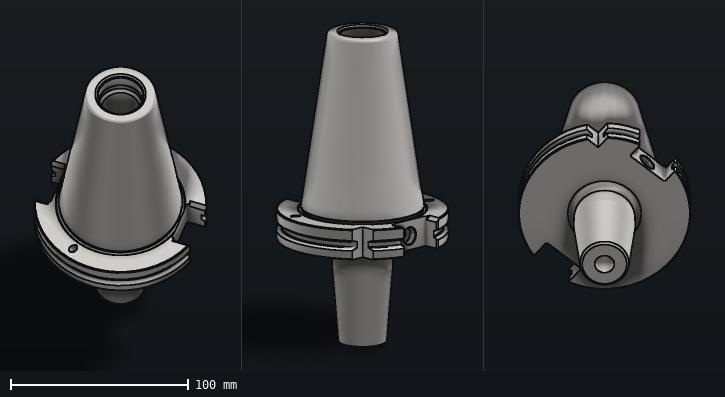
import cadquery as cq
import math

total_length = 181.6
gauge_height = 80.0
flange_top = 78.5
flange_bottom = 60.8
collar_top = 55.2
collar_bottom = 44.7

gauge_radius = 34.9
taper_slope = 7 / 48
taper_end_round = 1.8

flange_radius = 48.7
flange_chamfer = 0.5
groove_center = 69.0
groove_floor_radius = 45.5
groove_floor_width = 3.5
groove_flank_angle = 22
groove_floor_round = 0.5
groove_flank_height = (flange_radius - groove_floor_radius) * math.tan(math.radians(groove_flank_angle))

recess_radius = 36.7
recess_depth = 0.5
gauge_land = 0.4
undercut_radius = 34.3

collar_radius = 17.3
neck_radius = 17.0
neck_height = 1.0
neck_flare_radius = 20.7
neck_flare_round = 5.5
nose_radius = 13.8
nose_chamfer = 1.3

bore_mouth_radius = 14.3
bore_mouth_chamfer = 1.0
bore_lip_depth = 1.6
bore_radius = 12.7
bore_depth = 8.4
pilot_radius = 12.5
pilot_depth = 11.5
thread_radius = 10.5
thread_depth = 40.0
thread_countersink = 1.3
drill_point_angle = 118
coolant_bore_radius = 5.5

slot_width = 25.6
slot_corner_round = 1.0
slot_edge_chamfer = 2.2
slot_rim_chamfer = 1.0
deep_slot_distance = 35.5
shallow_slot_distance = 37.5

notch_distance = 30.0

chip_radius = 4.9
chip_depth = 4.5
chip_rim_chamfer = 0.4
chip_center_radius = 0.7
chip_center_countersink = 0.7
chip_center_depth = 2.7

coolant_hole_radius = 2.0
coolant_hole_distance = 41.5
coolant_hole_azimuth = 70
coolant_hole_tilt = 45
coolant_hole_depth = 14.5


def revolve_profile(profile):
    """Close an outline drawn in the XZ half-plane and turn it about Z."""
    return profile.close().revolve(360, (0, 0, 0), (0, 1, 0))


def make_body():
    taper_end_radius = gauge_radius - taper_slope * (total_length - gauge_height)
    groove_floor_top = groove_center + groove_floor_width / 2
    groove_floor_bottom = groove_center - groove_floor_width / 2
    land_bottom = gauge_height - gauge_land
    undercut_top = land_bottom - (gauge_radius - undercut_radius)
    neck_bottom = collar_top + neck_height
    profile = (
        cq.Workplane("XZ")
        .moveTo(0, 0)
        .lineTo(nose_radius - nose_chamfer, 0)
        .lineTo(nose_radius, nose_chamfer)
        .lineTo(collar_radius, collar_bottom)
        .lineTo(collar_radius, collar_top)
        .lineTo(neck_radius, neck_bottom)
        .radiusArc((neck_flare_radius, flange_bottom), neck_flare_round)
        .lineTo(flange_radius - flange_chamfer, flange_bottom)
        .lineTo(flange_radius, flange_bottom + flange_chamfer)
        .lineTo(flange_radius, groove_floor_bottom - groove_flank_height)
        .lineTo(groove_floor_radius, groove_floor_bottom)
        .lineTo(groove_floor_radius, groove_floor_top)
        .lineTo(flange_radius, groove_floor_top + groove_flank_height)
        .lineTo(flange_radius, flange_top - flange_chamfer)
        .lineTo(flange_radius - flange_chamfer, flange_top)
        .lineTo(recess_radius, flange_top)
        .lineTo(recess_radius - recess_depth, flange_top - recess_depth)
        .lineTo(undercut_radius, flange_top - recess_depth)
        .lineTo(undercut_radius, undercut_top)
        .lineTo(gauge_radius, land_bottom)
        .lineTo(gauge_radius, gauge_height)
        .lineTo(taper_end_radius, total_length)
        .lineTo(0, total_length)
    )
    body = revolve_profile(profile).faces(">Z").edges().fillet(taper_end_round)
    floor_edges = cq.selectors.BoxSelector(
        (-flange_radius, -flange_radius, groove_floor_bottom - groove_floor_round),
        (flange_radius, flange_radius, groove_floor_top + groove_floor_round),
    )
    return body.edges("%CIRCLE").edges(floor_edges).fillet(groove_floor_round)


def make_bore():
    thread_bottom = total_length - thread_depth
    cone_height = (thread_radius - coolant_bore_radius) / math.tan(math.radians(drill_point_angle / 2))
    pilot_bottom = total_length - pilot_depth
    lip_radius = bore_mouth_radius - bore_mouth_chamfer
    lip_bottom = total_length - bore_lip_depth
    profile = (
        cq.Workplane("XZ")
        .moveTo(0, 0)
        .lineTo(coolant_bore_radius, 0)
        .lineTo(coolant_bore_radius, thread_bottom - cone_height)
        .lineTo(thread_radius, thread_bottom)
        .lineTo(thread_radius, pilot_bottom - thread_countersink)
        .lineTo(pilot_radius, pilot_bottom)
        .lineTo(pilot_radius, total_length - bore_depth)
        .lineTo(bore_radius, total_length - bore_depth)
        .lineTo(bore_radius, lip_bottom)
        .lineTo(lip_radius, lip_bottom)
        .lineTo(lip_radius, total_length - bore_mouth_chamfer)
        .lineTo(bore_mouth_radius, total_length)
        .lineTo(0, total_length)
    )
    return revolve_profile(profile)


def make_slot(floor_distance):
    """Drive slot cutter on the +X side, with chamfered top and rim edges."""
    reach = 2 * flange_radius
    half_width = slot_width / 2
    flange_thickness = flange_top - flange_bottom
    channel = (
        cq.Workplane("XY", origin=(floor_distance, 0, flange_bottom))
        .rect(reach, slot_width, centered=(False, True))
        .extrude(flange_thickness)
        .edges("|Z and <X")
        .fillet(slot_corner_round)
    )
    top_chamfer = (
        cq.Workplane("YZ", origin=(floor_distance + slot_corner_round, 0, 0))
        .moveTo(-half_width - slot_edge_chamfer, flange_top)
        .lineTo(half_width + slot_edge_chamfer, flange_top)
        .lineTo(half_width, flange_top - slot_edge_chamfer)
        .lineTo(-half_width, flange_top - slot_edge_chamfer)
        .close()
        .extrude(reach)
    )
    rim_x = math.sqrt(flange_radius**2 - half_width**2)
    rim_chamfer = (
        cq.Workplane("XY", origin=(0, 0, flange_bottom))
        .moveTo(rim_x - slot_rim_chamfer, -half_width)
        .lineTo(rim_x - slot_rim_chamfer, half_width)
        .lineTo(rim_x, half_width + slot_rim_chamfer)
        .lineTo(reach, half_width + slot_rim_chamfer)
        .lineTo(reach, -half_width - slot_rim_chamfer)
        .lineTo(rim_x, -half_width - slot_rim_chamfer)
        .close()
        .extrude(flange_thickness)
    )
    return channel.union(top_chamfer).union(rim_chamfer)


def make_notch():
    return (
        cq.Workplane("XY", origin=(-notch_distance, notch_distance, flange_bottom))
        .rect(-flange_radius, flange_radius, centered=False)
        .extrude(flange_top - flange_bottom)
    )


def make_countersunk_hole(mouth_x, radius, depth, countersink):
    """Hole cutter running toward +X, with a 45 degree countersink at its mouth."""
    profile = (
        cq.Workplane("XZ", origin=(mouth_x, 0, groove_center))
        .lineTo(0, radius + countersink)
        .lineTo(countersink, radius)
        .lineTo(depth, radius)
        .lineTo(depth, 0)
        .close()
    )
    return profile.revolve(360, (0, 0, 0), (1, 0, 0))


def make_chip_pocket():
    pocket = make_countersunk_hole(-shallow_slot_distance, chip_radius, chip_depth, chip_rim_chamfer)
    center_hole = make_countersunk_hole(
        chip_depth - shallow_slot_distance, chip_center_radius, chip_center_depth, chip_center_countersink
    )
    return pocket.union(center_hole)


def make_coolant_hole(azimuth):
    tilt = math.radians(coolant_hole_tilt)
    inward_down = cq.Vector(-math.sin(tilt), 0, -math.cos(tilt))
    entry = cq.Vector(coolant_hole_distance, 0, flange_top)
    start = entry - inward_down * (2 * coolant_hole_radius)
    length = coolant_hole_depth + 2 * coolant_hole_radius
    hole = cq.Solid.makeCylinder(coolant_hole_radius, length, start, inward_down)
    return cq.Workplane(hole).rotate((0, 0, 0), (0, 0, 1), azimuth)


result = make_body().cut(make_bore())
result = result.cut(make_slot(deep_slot_distance))
result = result.cut(make_slot(shallow_slot_distance).rotate((0, 0, 0), (0, 0, 1), 180))
result = result.cut(make_notch())
result = result.cut(make_chip_pocket())
for half_turn in (0, 180):
    result = result.cut(make_coolant_hole(coolant_hole_azimuth + half_turn))